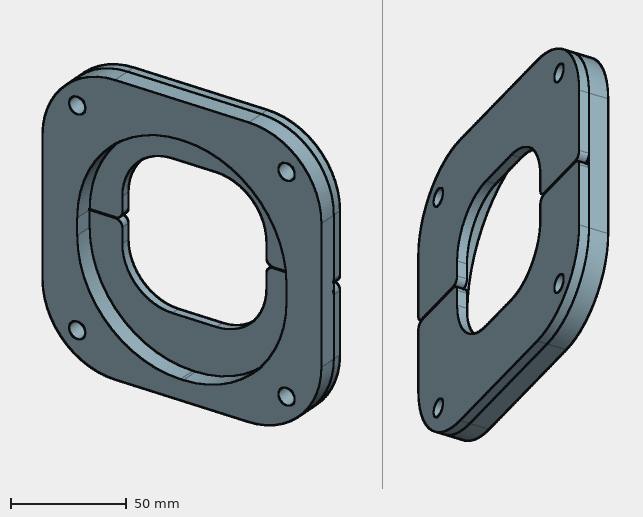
import cadquery as cq

SIDE = 146.0
CORNER_RADIUS = 38.0
SCREW_HOLE_DIAMETER = 8.5
SCREW_HOLE_SPACING = 109.5

TOTAL_THICKNESS = 14.3
BACK_THICKNESS = 4.8
FRONT_THICKNESS = TOTAL_THICKNESS - BACK_THICKNESS

FRAME_OPENING_WIDTH = 109.5
FRAME_OPENING_TOP = 54.0
FRAME_OPENING_BOTTOM = -62.7
FRAME_OPENING_RADIUS = 54.0

WINDOW_SIDE = 75.4
WINDOW_RADIUS = 26.1
SLIT_WIDTH = 0.5
SLIT_EDGE_RADIUS = 3.5


def rounded_block(width, height, radius, y_start, thickness, z_center=0.0):
    """Block standing in the XZ plane, rounded along Y, growing from y_start toward +Y."""
    return (
        cq.Workplane("XY")
        .box(width, thickness, height)
        .edges("|Y")
        .fillet(radius)
        .translate((0, y_start + thickness / 2, z_center))
    )


def drilled_plate(y_start, thickness):
    """Rounded square plate with a screw hole near each corner."""
    return (
        rounded_block(SIDE, SIDE, CORNER_RADIUS, y_start, thickness)
        .faces("<Y")
        .workplane(centerOption="CenterOfBoundBox")
        .rect(SCREW_HOLE_SPACING, SCREW_HOLE_SPACING, forConstruction=True)
        .vertices()
        .hole(SCREW_HOLE_DIAMETER)
    )


def make_front_frame():
    """Front plate with the large opening cut through it."""
    opening = rounded_block(
        FRAME_OPENING_WIDTH,
        FRAME_OPENING_TOP - FRAME_OPENING_BOTTOM,
        FRAME_OPENING_RADIUS,
        0,
        FRONT_THICKNESS,
        (FRAME_OPENING_TOP + FRAME_OPENING_BOTTOM) / 2,
    )
    return drilled_plate(0, FRONT_THICKNESS).cut(opening)


def make_back_half(side):
    """Half of the back plate: side is +1 for the upper half, -1 for the lower half."""
    window = rounded_block(WINDOW_SIDE, WINDOW_SIDE, WINDOW_RADIUS, FRONT_THICKNESS, BACK_THICKNESS)
    half_height = (SIDE - SLIT_WIDTH) / 2
    half_space = cq.Workplane("XY").box(SIDE, BACK_THICKNESS, half_height).translate(
        (0, FRONT_THICKNESS + BACK_THICKNESS / 2, side * (SLIT_WIDTH + half_height) / 2)
    )
    half = drilled_plate(FRONT_THICKNESS, BACK_THICKNESS).cut(window).intersect(half_space)
    slit_faces = "<Z" if side > 0 else ">Z"
    return half.faces(slit_faces).edges("|Y").fillet(SLIT_EDGE_RADIUS)


front_frame = make_front_frame()
back_halves = [make_back_half(side) for side in (1, -1)]

result = cq.Compound.makeCompound([front_frame.val(), *[half.val() for half in back_halves]])